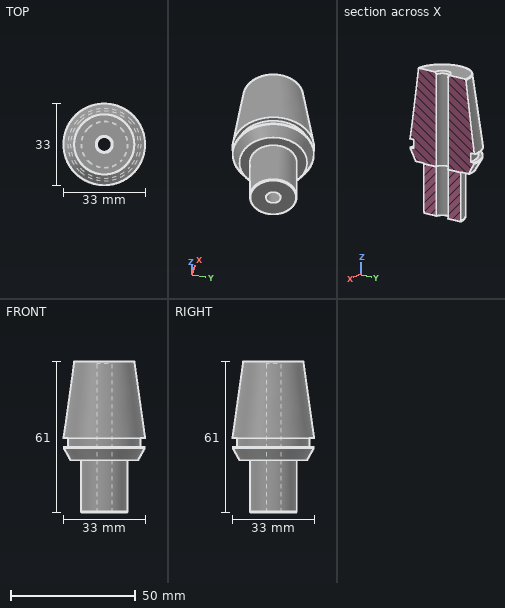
import cadquery as cq
import math

total_height = 61.0
bore_radius = 2.9

shank_radius = 9.45
shank_length = 21.05
shank_chamfer_height = 0.55
shank_chamfer_width = 0.3

flange_radius = 16.35
flange_base_radius = 13.6
flange_cone_height = 4.9
flange_rim_height = 0.55
groove_radius = 14.65
groove_height = 3.55
taper_base_diameter = 33.0
taper_angle = 8.0
top_chamfer_width = 0.2
top_chamfer_height = 0.35
mouth_radius = 3.5
mouth_depth = 1.0

taper_base_radius = taper_base_diameter / 2
flange_edge_z = shank_length + flange_cone_height
flange_top_z = flange_edge_z + flange_rim_height
taper_base_z = flange_top_z + groove_height
top_chamfer_z = total_height - top_chamfer_height
taper_top_radius = taper_base_radius - (top_chamfer_z - taper_base_z) * math.tan(math.radians(taper_angle))


def revolve_about_z(profile):
    """Turn a closed (radius, height) profile about the Z axis."""
    return cq.Workplane("XZ").polyline(profile).close().revolve(360, (0, 0), (0, 1))


def make_shank():
    """Bored cylinder with a chamfered lower end."""
    return revolve_about_z([
        (bore_radius, 0),
        (shank_radius - shank_chamfer_width, 0),
        (shank_radius, shank_chamfer_height),
        (shank_radius, shank_length),
        (bore_radius, shank_length),
    ])


def make_collet():
    """Tapered collet seated on the shank, with a groove above its flange and a countersunk bore."""
    return revolve_about_z([
        (bore_radius, shank_length),
        (flange_base_radius, shank_length),
        (flange_radius, flange_edge_z),
        (flange_radius, flange_top_z),
        (groove_radius, flange_top_z),
        (groove_radius, taper_base_z),
        (taper_base_radius, taper_base_z),
        (taper_top_radius, top_chamfer_z),
        (taper_top_radius - top_chamfer_width, total_height),
        (mouth_radius, total_height),
        (bore_radius, total_height - mouth_depth),
    ])


shank = make_shank()
collet = make_collet()

result = cq.Compound.makeCompound([shank.val(), collet.val()])